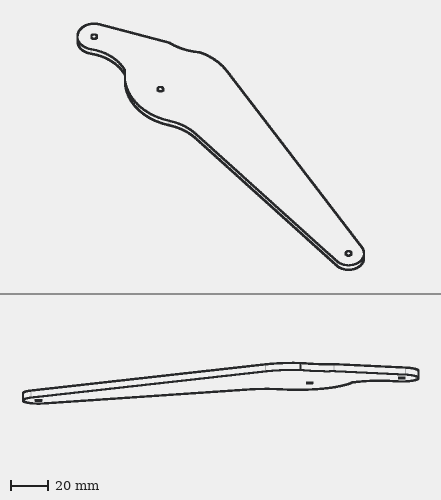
import cadquery as cq
import math

thickness = 4.0
hole_diameter = 3.0
tail_hole = (-50.1, -8.0)
middle_hole = (0.0, 0.0)
tip_hole = (150.6, 17.0)

tail_radius = 9.0
tip_radius = 8.3
lobe_radius = 32.3
lower_lobe = (0.0, 16.1)
upper_lobe = (7.6, 4.1)

hollow_radius = 25.5
hollow_direction = -46.5

lower_edge_slope = 5.5
fillet_radius = 28.5

tail_edge_slope = 36.1
neck_start_x = -23.8
neck_end_x = -8.5
neck_sag = 1.3


def polar(center, radius, degrees):
    """Point at a distance and direction from a center."""
    angle = math.radians(degrees)
    return (center[0] + radius * math.cos(angle), center[1] + radius * math.sin(angle))


def direction(start, end):
    """Direction in degrees from one point to another."""
    return math.degrees(math.atan2(end[1] - start[1], end[0] - start[0]))


def circle_crossing(first, first_radius, second, second_radius):
    """Crossing of two circles, on the left when going from the first to the second."""
    distance = math.dist(first, second)
    cosine = (first_radius**2 + distance**2 - second_radius**2) / (2 * first_radius * distance)
    return polar(first, first_radius, direction(first, second) + math.degrees(math.acos(cosine)))


hollow_center = polar(tail_hole, tail_radius + hollow_radius, hollow_direction)
hollow_start = polar(tail_hole, tail_radius, hollow_direction)
hollow_end = circle_crossing(hollow_center, hollow_radius, lower_lobe, lobe_radius)
hollow_middle_direction = (
    direction(hollow_center, hollow_start) + direction(hollow_center, hollow_end)
) / 2
hollow_middle = polar(hollow_center, hollow_radius, hollow_middle_direction)


edge_normal = lower_edge_slope - 90
tip_bottom = polar(tip_hole, tip_radius, edge_normal)
normal_angle = math.radians(edge_normal)
lobe_to_edge = (tip_bottom[0] - lower_lobe[0]) * math.cos(normal_angle)
lobe_to_edge += (tip_bottom[1] - lower_lobe[1]) * math.sin(normal_angle)
center_distance = lobe_radius + fillet_radius
turn = math.degrees(math.acos((lobe_to_edge + fillet_radius) / center_distance))
fillet_direction = edge_normal + turn
fillet_center = polar(lower_lobe, center_distance, fillet_direction)
fillet_start = polar(lower_lobe, lobe_radius, fillet_direction)
fillet_middle = polar(fillet_center, fillet_radius, edge_normal + 180 + turn / 2)
fillet_end = polar(fillet_center, fillet_radius, edge_normal + 180)

radius_difference = lobe_radius - tip_radius
taper = math.degrees(math.asin(radius_difference / math.dist(upper_lobe, tip_hole)))
upper_normal = direction(upper_lobe, tip_hole) - taper + 90
tip_top = polar(tip_hole, tip_radius, upper_normal)
upper_lobe_end = polar(upper_lobe, lobe_radius, upper_normal)

neck_end_direction = math.degrees(math.acos((neck_end_x - upper_lobe[0]) / lobe_radius))
neck_end = polar(upper_lobe, lobe_radius, neck_end_direction)
upper_lobe_middle = polar(upper_lobe, lobe_radius, (upper_normal + neck_end_direction) / 2)
tail_top = polar(tail_hole, tail_radius, tail_edge_slope + 90)
tail_edge_rise = (neck_start_x - tail_top[0]) * math.tan(math.radians(tail_edge_slope))
neck_start = (neck_start_x, tail_top[1] + tail_edge_rise)

outline = (
    cq.Workplane("XY")
    .moveTo(*hollow_start)
    .threePointArc(hollow_middle, hollow_end)
    .threePointArc(polar(lower_lobe, lobe_radius, -90), fillet_start)
    .threePointArc(fillet_middle, fillet_end)
    .lineTo(*tip_bottom)
    .threePointArc(polar(tip_hole, tip_radius, 0), tip_top)
    .lineTo(*upper_lobe_end)
    .threePointArc(upper_lobe_middle, neck_end)
    .sagittaArc(neck_start, neck_sag)
    .lineTo(*tail_top)
    .threePointArc(polar(tail_hole, tail_radius, 180), hollow_start)
    .close()
)
plate = outline.extrude(thickness)

holes = (
    cq.Workplane("XY")
    .pushPoints([tail_hole, middle_hole, tip_hole])
    .circle(hole_diameter / 2)
    .extrude(thickness)
)
result = plate.cut(holes)